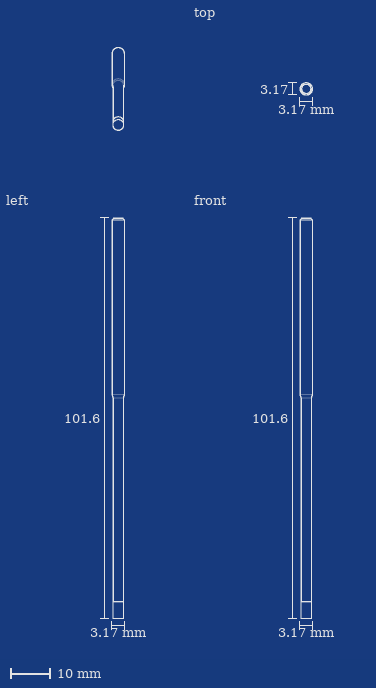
import cadquery as cq

overall_length = 101.6
shank_radius = 3.175 / 2
stem_radius = 2.67 / 2
tip_radius = 2.78 / 2

tip_length = 4.4
tip_shoulder_length = 0.3
shank_length = 44.75
neck_taper_length = 0.85
top_chamfer = 0.43

shank_bottom = overall_length - shank_length
stem_top = shank_bottom - neck_taper_length


def turn(profile):
    """Turn a half profile of (radius, height) points into a solid around Z."""
    return cq.Workplane("XZ").polyline(profile).close().revolve(360, (0, 0), (0, 1))


holder = turn([
    (0, tip_length),
    (stem_radius, tip_length),
    (stem_radius, stem_top),
    (shank_radius, shank_bottom),
    (shank_radius, overall_length - top_chamfer),
    (shank_radius - top_chamfer, overall_length),
    (0, overall_length),
])

tip = turn([
    (0, 0),
    (tip_radius, 0),
    (tip_radius, tip_length - tip_shoulder_length),
    (stem_radius, tip_length),
    (0, tip_length),
])

result = cq.Compound.makeCompound([holder.val(), tip.val()])